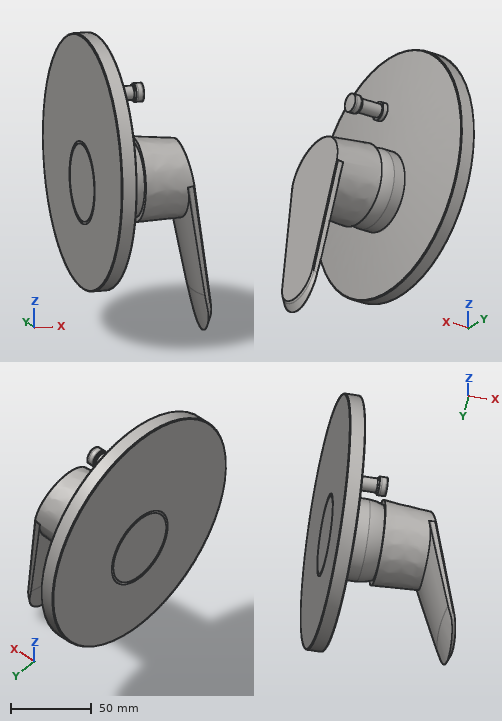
import cadquery as cq
import math

plate_radius = 80.46
rim_depth = 10.0
rim_chamfer = 0.5
dome_x = 16.0

pin_z = 42.1
pin_start_x = 9.6
flange_end_x = 17.7
flange_radius = 12.0 / 2
stem_radius = 9.0 / 2
collar_radius = 10.0 / 2
collar_start_x = 32.5
button_start_x = 33.6
button_end_x = 38.6
button_dome = 0.4
button_band_inset = 1.2
button_taper = 0.04

handle_z = -12.9
sleeve_radius = 26.0
core_radius = 24.5
sleeve_bend_x = 23.3
handle_start_x = 33.0
sleeve_end_radius = 23.8
neck_radius = 22.1

head_radius = 27
head_far_x = 73
head_taper = 0.0715
head_drop = 0.0385

lever_top_x = 65.4
lever_top_z = -14.0
lever_front_tip_x = 81.0
lever_front_tip_z = -104.5
lever_tip_x = 78.3
lever_tip_z = plate_radius - 192.3
lever_top_half_width = 25
lever_bevel_depth = 0.8
lever_bevel_inset = 0.4
front_shoulder_half_width = 17.0
front_shoulder_z = -90.2
back_shoulder_half_width = 18.0
back_shoulder_z = -91.5
lever_body_depth = 15.4

crown_radius = 86.5
crown_top_x = 62.3
crown_top_z = -39.6
crown_bend_x = 72.1
crown_bend_z = -86.1
crown_overrun = 77

lever_angle = math.atan2(lever_front_tip_x - lever_top_x, lever_top_z - lever_front_tip_z)
lever_cos = math.cos(lever_angle)
lever_sin = math.sin(lever_angle)


def along_lever(x, z):
    """Distance of a point from the lever top, measured down the front face."""
    return (x - lever_top_x) * lever_sin + (lever_top_z - z) * lever_cos


def behind_lever_face(x, z):
    """Distance of a point behind the lever's front face."""
    return (lever_top_x - x) * lever_cos + (lever_top_z - z) * lever_sin


def lever_plane():
    """Plane of the front face: local X is global Y, local Y runs down, normal points back."""
    return cq.Plane(
        origin=(lever_top_x, 0, lever_top_z), xDir=(0, 1, 0), normal=(-lever_cos, 0, -lever_sin)
    )


def disc(radius, start_x, end_x, z):
    """A cylinder along X."""
    return cq.Workplane("YZ", origin=(start_x, 0, z)).circle(radius).extrude(end_x - start_x)


def revolve_about_x(profile, z):
    """Revolve a closed (x, radius) profile about the line parallel to X at height z."""
    return profile.revolve(360, (0, 0, 0), (1, 0, 0)).translate((0, 0, z))


def make_pin():
    band_start_x = button_start_x + button_band_inset
    band_end_x = button_end_x - button_band_inset
    button_end_radius = flange_radius - button_taper
    profile = (
        cq.Workplane("XZ")
        .moveTo(pin_start_x, 0)
        .lineTo(pin_start_x, flange_radius)
        .lineTo(flange_end_x, flange_radius)
        .lineTo(flange_end_x, stem_radius)
        .lineTo(collar_start_x, stem_radius)
        .lineTo(collar_start_x, collar_radius)
        .lineTo(button_start_x, collar_radius)
        .lineTo(button_start_x, button_end_radius)
        .lineTo(band_start_x, flange_radius)
        .lineTo(band_end_x, flange_radius)
        .lineTo(button_end_x, button_end_radius)
        .lineTo(button_end_x + button_dome, 0)
        .close()
    )
    return revolve_about_x(profile, pin_z)


def make_backplate():
    dome_edge_radius = plate_radius - rim_chamfer
    dome_height = dome_x - rim_depth
    dome_radius = (dome_edge_radius**2 + dome_height**2) / (2 * dome_height)
    dome_mid_radius = dome_edge_radius / 2
    dome_mid_x = dome_x - dome_radius + math.sqrt(dome_radius**2 - dome_mid_radius**2)
    profile = (
        cq.Workplane("XZ")
        .lineTo(0, plate_radius - rim_chamfer)
        .lineTo(rim_chamfer, plate_radius)
        .lineTo(rim_depth - rim_chamfer, plate_radius)
        .lineTo(rim_depth, dome_edge_radius)
        .threePointArc((dome_mid_x, dome_mid_radius), (dome_x, 0))
        .close()
    )
    plate = revolve_about_x(profile, 0).union(make_pin())
    return plate.cut(disc(sleeve_radius, 0, handle_start_x, handle_z))


def make_sleeve():
    profile = (
        cq.Workplane("XZ")
        .moveTo(0, core_radius)
        .lineTo(0, sleeve_radius)
        .lineTo(sleeve_bend_x, sleeve_radius)
        .tangentArcPoint((handle_start_x, sleeve_end_radius), relative=False)
        .lineTo(handle_start_x, neck_radius)
        .lineTo(sleeve_bend_x, neck_radius)
        .lineTo(sleeve_bend_x, core_radius)
        .close()
    )
    return revolve_about_x(profile, handle_z)


def make_head():
    length = head_far_x - handle_start_x
    cone = (
        cq.Workplane("YZ", origin=(handle_start_x, 0, handle_z))
        .circle(head_radius)
        .workplane(offset=length)
        .center(0, -head_drop * length)
        .circle(head_radius - head_taper * length)
        .loft(ruled=True)
    )
    face_size = 4 * head_radius
    return cone.intersect(cq.Workplane(lever_plane()).rect(face_size, face_size).extrude(face_size))


def lever_outline(depth, inset, shoulder_half_width, shoulder, tip):
    """Tapering blade with a round end, at a depth behind the front face.

    Its sides move in by the inset; shoulder and tip are distances down the front face.
    """
    top_half_width = lever_top_half_width - inset
    half_width = shoulder_half_width - inset
    return (
        cq.Workplane(lever_plane())
        .workplane(offset=depth)
        .moveTo(-top_half_width, 0)
        .lineTo(top_half_width, 0)
        .lineTo(half_width, shoulder)
        .threePointArc((0, tip), (-half_width, shoulder))
        .close()
    )


def loft_between(first, second):
    """Straight-sided solid between two closed outlines."""
    return cq.Workplane(obj=cq.Solid.makeLoft([first.val(), second.val()], True))


def make_crown(upper, lower):
    """Long cylinder whose rear line runs through two (x, z) points on the lever's back."""
    direction = cq.Vector(lower[0] - upper[0], 0, lower[1] - upper[1]).normalized()
    toward_front = cq.Vector(-direction.z, 0, direction.x)
    start = cq.Vector(upper[0], 0, upper[1]) + toward_front * crown_radius - direction * crown_overrun
    length = 3 * crown_overrun
    return cq.Workplane(obj=cq.Solid.makeCylinder(crown_radius, length, start, direction))


def make_lever():
    front_shoulder = (lever_top_z - front_shoulder_z) / lever_cos
    back_shoulder = (lever_top_z - back_shoulder_z) / lever_cos
    front_tip = along_lever(lever_front_tip_x, lever_front_tip_z)
    back_tip = along_lever(lever_tip_x, lever_tip_z)
    edge_depth = behind_lever_face(lever_tip_x, lever_tip_z)
    front_shape = (front_shoulder_half_width, front_shoulder, front_tip)
    back_shape = (back_shoulder_half_width, back_shoulder, back_tip)
    bevel_share = lever_bevel_depth / edge_depth
    bevel_shape = [a + bevel_share * (b - a) for a, b in zip(front_shape, back_shape)]
    front = lever_outline(0, lever_bevel_inset, *front_shape)
    bevel_end = lever_outline(lever_bevel_depth, 0, *bevel_shape)
    back = lever_outline(edge_depth, 0, *back_shape)
    bevel = loft_between(front, bevel_end)
    edge = loft_between(bevel_end, back)
    body = back.extrude(lever_body_depth)
    bend = (crown_bend_x, crown_bend_z)
    upper_crown = make_crown((crown_top_x, crown_top_z), bend)
    lower_crown = make_crown(bend, (lever_tip_x, lever_tip_z))
    return bevel.union(edge).union(body).intersect(upper_crown).intersect(lower_crown)


def make_handle():
    core = disc(core_radius, 0, sleeve_bend_x, handle_z)
    neck = disc(neck_radius, sleeve_bend_x, handle_start_x, handle_z)
    return core.union(neck).union(make_head()).union(make_lever())


backplate = make_backplate()
sleeve = make_sleeve()
handle = make_handle()

result = cq.Compound.makeCompound([backplate.solids().val(), sleeve.val(), handle.solids().val()])